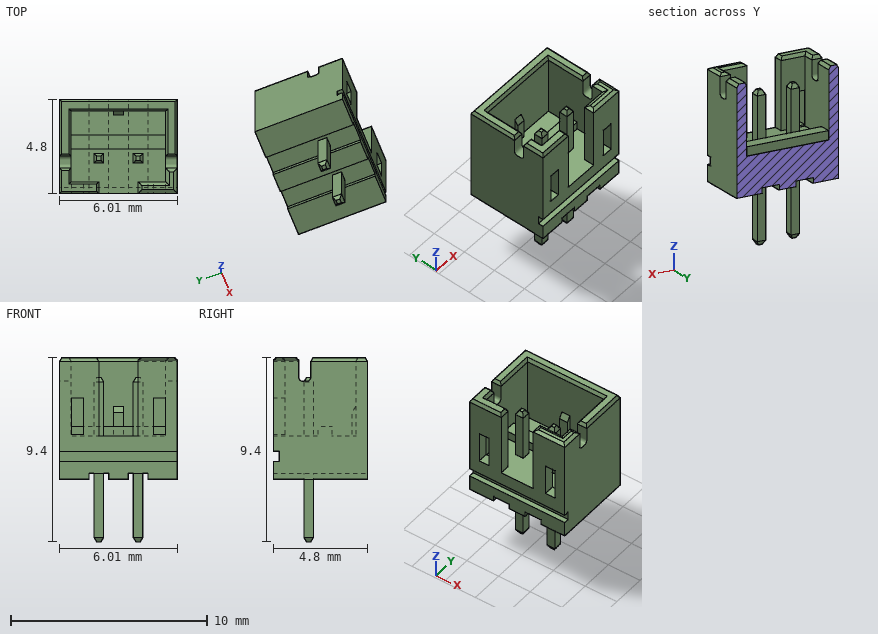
import cadquery as cq
import math

BODY_X = 6.01
BODY_Y = 4.8
BODY_Z = 6.2
WALL_X = 0.6
WALL_Y = 0.6
FLOOR_Z = 2.2
OVERCUT = 1.0

RIB_Y_FRONT = -0.12
RIB_Y_BACK = 0.58
RIB_TOP_Z = 2.7

NOTCH_X = 2.0

SIDE_SLOT_Y = -0.8
SIDE_SLOT_WIDTH = 0.6
SIDE_SLOT_DEPTH = 1.2
SIDE_SLOT_RADIUS = 0.2

BEVEL_LONG = 0.2
BEVEL_ANGLE = 30
BEVEL_SHORT = BEVEL_LONG * math.tan(math.radians(BEVEL_ANGLE))

WINDOW_X = 2.09
WINDOW_WIDTH = 0.6
WINDOW_BOTTOM_Z = 2.28
WINDOW_TOP_Z = 4.15

GROOVE_BOTTOM_Z = 0.92
GROOVE_HEIGHT = 0.5
GROOVE_DEPTH = 0.3

KEY_WIDTH = 0.5
KEY_DEPTH = 0.2
KEY_FRONT_Z = 3.4
KEY_BACK_Z = 3.72

PIN_PITCH = 2.0
PIN_Y = -0.6
PIN_SIZE = 0.5
PIN_BOTTOM_Z = -3.2
PIN_TOP_Z = 5.2
PIN_TAPER_LENGTH = 0.25
PIN_TAPER_ANGLE = 30
CHANNEL_WIDTH = 1.0
CHANNEL_HEIGHT = 0.3

FRONT_Y = -BODY_Y / 2
INNER_BACK_Y = BODY_Y / 2 - WALL_Y
INNER_X = BODY_X - 2 * WALL_X
PIN_XS = (-PIN_PITCH / 2, PIN_PITCH / 2)


def box_between(x0, x1, y0, y1, z0, z1):
    """Axis-aligned box given by its limits."""
    return cq.Workplane("XY").box(x1 - x0, y1 - y0, z1 - z0, centered=False).translate((x0, y0, z0))


def open_box():
    """Solid base with four walls, before the wall openings are cut."""
    half_x = BODY_X / 2
    half_inner = INNER_X / 2
    body = box_between(-half_x, half_x, FRONT_Y, -FRONT_Y, 0, BODY_Z)
    cavity = box_between(-half_inner, half_inner, -INNER_BACK_Y, INNER_BACK_Y, FLOOR_Z, BODY_Z)
    return body.cut(cavity)


def floor_rib():
    """Raised rib running the full width of the cavity floor."""
    return box_between(-INNER_X / 2, INNER_X / 2, RIB_Y_FRONT, RIB_Y_BACK, FLOOR_Z, RIB_TOP_Z)


def front_notch():
    """Cutter that opens the middle of the front wall down to the cavity floor."""
    return box_between(
        -NOTCH_X / 2, NOTCH_X / 2, FRONT_Y - OVERCUT, -INNER_BACK_Y, FLOOR_Z, BODY_Z + OVERCUT
    )


def side_slots():
    """Cutter for the round-cornered slots in both side walls."""
    slot_bottom = BODY_Z - SIDE_SLOT_DEPTH
    return (
        box_between(
            -BODY_X / 2 - OVERCUT,
            BODY_X / 2 + OVERCUT,
            SIDE_SLOT_Y - SIDE_SLOT_WIDTH / 2,
            SIDE_SLOT_Y + SIDE_SLOT_WIDTH / 2,
            slot_bottom,
            BODY_Z + OVERCUT,
        )
        .edges("|X and <Z")
        .fillet(SIDE_SLOT_RADIUS)
    )


def bevel_rim(body):
    """Bevel all rim edges: shallow on the front-right post, steep on the rest."""
    bevelled = body
    for face in body.faces(">Z").vals():
        center = face.Center()
        if center.x > 0 and center.y < SIDE_SLOT_Y:
            drop, inset = BEVEL_SHORT, BEVEL_LONG
        else:
            drop, inset = BEVEL_LONG, BEVEL_SHORT
        outline = face.outerWire()
        base = outline.translate(cq.Vector(0, 0, -drop))
        crest = outline.offset2D(-inset, "intersection")[0]
        square_top = cq.Solid.extrudeLinear(outline, [], cq.Vector(0, 0, -drop))
        bevelled_top = cq.Solid.makeLoft([base, crest], True)
        bevelled = bevelled.cut(cq.Workplane(square_top)).union(cq.Workplane(bevelled_top))
    return bevelled


def front_window(x):
    """Cutter for one window through the front wall, centred at x."""
    return box_between(
        x - WINDOW_WIDTH / 2,
        x + WINDOW_WIDTH / 2,
        FRONT_Y - OVERCUT,
        -INNER_BACK_Y,
        WINDOW_BOTTOM_Z,
        WINDOW_TOP_Z,
    )


def front_groove():
    """Cutter for the groove across the front face."""
    return box_between(
        -BODY_X / 2 - OVERCUT,
        BODY_X / 2 + OVERCUT,
        FRONT_Y - OVERCUT,
        FRONT_Y + GROOVE_DEPTH,
        GROOVE_BOTTOM_Z,
        GROOVE_BOTTOM_Z + GROOVE_HEIGHT,
    )


def underside_channel(x):
    """Cutter for one channel running front to back under the housing, centred at x."""
    return box_between(
        x - CHANNEL_WIDTH / 2,
        x + CHANNEL_WIDTH / 2,
        FRONT_Y - OVERCUT,
        -FRONT_Y + OVERCUT,
        -OVERCUT,
        CHANNEL_HEIGHT,
    )


def key_block():
    """Block on the back wall, rising from the floor to a top that slopes down to the front."""
    key_front_y = INNER_BACK_Y - KEY_DEPTH
    return (
        cq.Workplane("YZ")
        .moveTo(INNER_BACK_Y, FLOOR_Z)
        .lineTo(INNER_BACK_Y, KEY_BACK_Z)
        .lineTo(key_front_y, KEY_FRONT_Z)
        .lineTo(key_front_y, FLOOR_Z)
        .close()
        .extrude(KEY_WIDTH / 2, both=True)
    )


def pin_section(x, z):
    """Square cross-section of a pin at x, on the horizontal plane at height z."""
    return cq.Workplane("XY", origin=(x, PIN_Y, z)).rect(PIN_SIZE, PIN_SIZE)


def pin(x):
    """Square pin through the floor, tapered at both ends, centred at x."""
    shank_bottom = PIN_BOTTOM_Z + PIN_TAPER_LENGTH
    shank_top = PIN_TOP_Z - PIN_TAPER_LENGTH
    shank = pin_section(x, shank_bottom).extrude(shank_top - shank_bottom)
    bottom_tip = pin_section(x, shank_bottom).extrude(-PIN_TAPER_LENGTH, taper=PIN_TAPER_ANGLE)
    top_tip = pin_section(x, shank_top).extrude(PIN_TAPER_LENGTH, taper=PIN_TAPER_ANGLE)
    return shank.union(bottom_tip).union(top_tip)


def build_connector():
    """Assemble the housing, its openings and the pins into one solid."""
    housing = open_box().cut(front_notch()).cut(side_slots())
    housing = bevel_rim(housing)
    housing = housing.cut(front_groove())
    for x in (-WINDOW_X, WINDOW_X):
        housing = housing.cut(front_window(x))
    housing = housing.union(floor_rib()).union(key_block())
    for x in PIN_XS:
        housing = housing.cut(underside_channel(x))
        housing = housing.union(pin(x))
    return housing


result = build_connector()